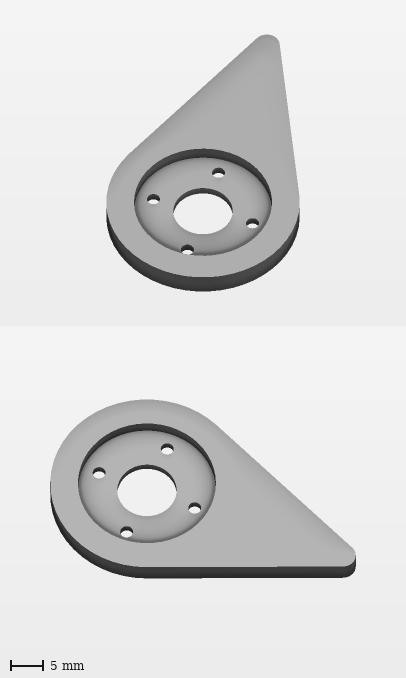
import cadquery as cq
import math

thickness = 3.5
disc_radius = 15.0
tip_radius = 2.0
tip_center_y = 33.0
recess_diameter = 21.4
recess_depth = 2.2
bore_diameter = 9.2
screw_hole_diameter = 2.0
screw_circle_radius = 8.05
screw_hole_count = 4


def teardrop_plate():
    """Plate bounded by a large arc, a small tip arc and their common tangents."""
    normal_angle = math.asin((disc_radius - tip_radius) / tip_center_y)
    normal_x = math.cos(normal_angle)
    normal_y = math.sin(normal_angle)
    disc_tangent_x = disc_radius * normal_x
    disc_tangent_y = disc_radius * normal_y
    tip_tangent_x = tip_radius * normal_x
    tip_tangent_y = tip_center_y + tip_radius * normal_y
    return (
        cq.Workplane("XY")
        .moveTo(disc_tangent_x, disc_tangent_y)
        .lineTo(tip_tangent_x, tip_tangent_y)
        .threePointArc((0, tip_center_y + tip_radius), (-tip_tangent_x, tip_tangent_y))
        .lineTo(-disc_tangent_x, disc_tangent_y)
        .threePointArc((0, -disc_radius), (disc_tangent_x, disc_tangent_y))
        .close()
        .extrude(thickness)
    )


def recess():
    """Round pocket sunk from the top face."""
    floor_z = thickness - recess_depth
    return cq.Workplane("XY").workplane(offset=floor_z).circle(recess_diameter / 2).extrude(recess_depth)


def bore():
    """Central through hole."""
    return cq.Workplane("XY").circle(bore_diameter / 2).extrude(thickness)


def screw_holes():
    """Through holes evenly spaced around the bore, on the X and Y axes."""
    return (
        cq.Workplane("XY")
        .polarArray(screw_circle_radius, 0, 360, screw_hole_count)
        .circle(screw_hole_diameter / 2)
        .extrude(thickness)
    )


result = teardrop_plate().cut(recess()).cut(bore()).cut(screw_holes())